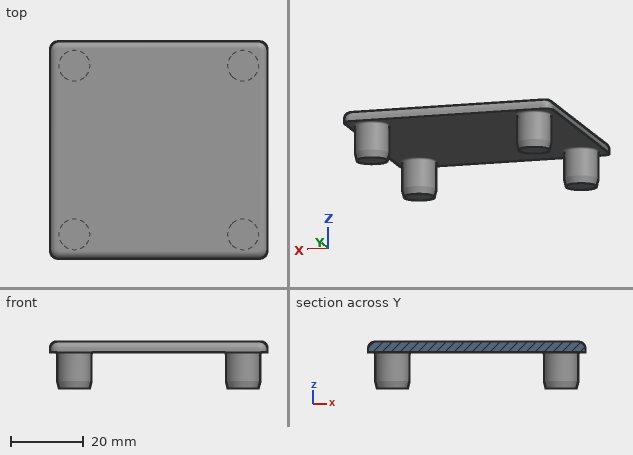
import cadquery as cq

plate_side = 60.0
plate_thickness = 3.0
corner_radius = 2.5
top_edge_radius = 2.0

total_height = 13.0
peg_length = total_height - plate_thickness
peg_radius = 9.5 / 2
peg_offset = 23.25
tip_length = 2.0
tip_radius = 8.5 / 2
root_fillet = 0.5


def make_plate():
    """Rounded square plate with a rounded upper rim."""
    plate = cq.Workplane("XY").rect(plate_side, plate_side).extrude(plate_thickness)
    plate = plate.edges("|Z").fillet(corner_radius)
    return plate.faces(">Z").edges().fillet(top_edge_radius)


def make_peg(x, y):
    """Peg with a tapered tip and a concave fillet where it meets the plate."""
    profile = (
        cq.Workplane("XZ")
        .lineTo(peg_radius + root_fillet, 0)
        .radiusArc((peg_radius, -root_fillet), -root_fillet)
        .lineTo(peg_radius, tip_length - peg_length)
        .lineTo(tip_radius, -peg_length)
        .lineTo(0, -peg_length)
        .close()
    )
    peg = profile.revolve(360, (0, 0, 0), (0, 1, 0))
    return peg.translate((x, y, 0))


result = make_plate()
for x in (-peg_offset, peg_offset):
    for y in (-peg_offset, peg_offset):
        result = result.union(make_peg(x, y))